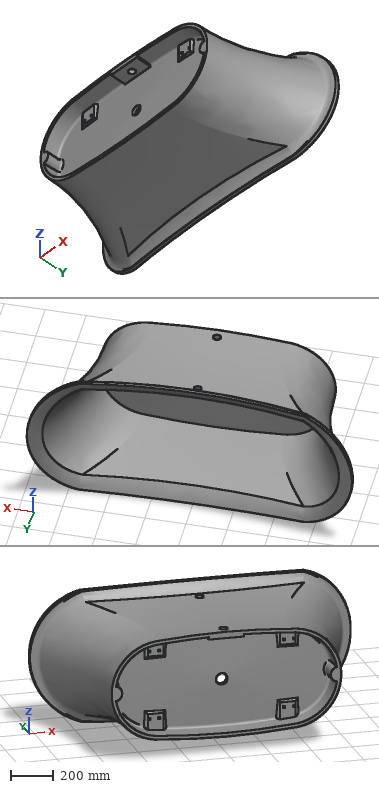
import cadquery as cq
import math

overall_width = 689.0
FOOT = ((0, 0, 263.0), (322.0, 0, 249.0), (567.0, 0, 0))
NECK = ((0, 504.0, 291.0), (539.0, 553.0, 284.0), (741.0, 607.0, 0))
FLARE_TOP = ((0, 553.0, 344.0), (548.0, 590.0, 325.0), (770.0, 627.0, 0))
LIP_BOTTOM = ((0, 553.0, overall_width / 2), (550.0, 590.0, 328.0), (792, 632.0, 0))
LIP_TOP = ((0, 573.0, overall_width / 2), (550.0, 610.0, 328.0), (792, 655.0, 0))

wall = 19.0
wall_levels = 5
floor_underside = 93.0
basin_floor = floor_underside + wall
floor_fall = 11.0
smooth_points = 32
flare_hollow = 5.0

recess_draft = 3.0
recess_fillet = 13.0
end_boss_radius = 38.0
end_boss_x = 553.0
side_boss_half_width = 87.0
side_boss_z = 231.0

pad_width = 111.0
pad_centre_x = 326.0
pad_inner_z = 127.0
pad_height = 10.0
pad_bevel = 17.0
pilot_diameter = 10.0
pilot_depth = 10.0
pilot_spacing = 49.0
pilot_centre_x = 333.0
pilot_z = 170.0

drain_diameter = 55.0
overflow_diameter = 36.0
overflow_heights = (54.0, 472.0)


def inset(ring, amount):
    """Ring moved inward by an amount in plan, at the same heights."""
    side, corner, end = ring
    return (
        (0, side[1], side[2] - amount),
        (corner[0], corner[1], corner[2] - amount),
        (end[0] - amount, end[1], 0),
    )


def raised(ring, height):
    """Ring moved along Y."""
    return tuple((x, y + height, z) for x, y, z in ring)


def between(low, high, spread, rise):
    """Ring between two others: `spread` is the fraction of the way in plan, `rise` that in height."""
    return tuple(
        (
            a[0] + spread * (b[0] - a[0]),
            a[1] + rise * (b[1] - a[1]),
            a[2] + spread * (b[2] - a[2]),
        )
        for a, b in zip(low, high)
    )


def ring_wire(ring):
    """Closed wire of four arcs through the ring's points and their mirror images."""
    side, corner, end = ring

    def point(p, x_sign, z_sign):
        return cq.Vector(x_sign * p[0], p[1], z_sign * p[2])

    stops = [
        (point(corner, -1, 1), point(side, 1, 1), point(corner, 1, 1)),
        (point(corner, 1, 1), point(end, 1, 1), point(corner, 1, -1)),
        (point(corner, 1, -1), point(side, 1, -1), point(corner, -1, -1)),
        (point(corner, -1, -1), point(end, -1, 1), point(corner, -1, 1)),
    ]
    return cq.Wire.assembleEdges([cq.Edge.makeThreePointArc(*s) for s in stops])


def smooth_wire(ring):
    """Closed wire of one seamless curve along the ring."""
    arcs = ring_wire(ring)
    points = [arcs.positionAt(i / smooth_points) for i in range(smooth_points)]
    return cq.Wire.assembleEdges([cq.Edge.makeSpline(points, periodic=True)])


def skin(rings, ruled=False):
    """Faces of an open surface running through the rings."""
    return cq.occ_impl.shapes.loft(*[ring_wire(r) for r in rings], ruled=ruled).Faces()


def flared_wall(foot, neck, start_rise=0.0):
    """Rings of a wall whose spread grows with the square of its height above the foot."""
    steps = [i / (wall_levels - 1) for i in range(wall_levels)]
    low = between(foot, neck, start_rise**2, 0)
    rings = []
    for step in steps:
        rise = start_rise + (1 - start_rise) * step
        spread = (rise**2 - start_rise**2) / (1 - start_rise**2)
        rings.append(between(low, neck, spread, step))
    return rings


def hollow_flare(neck, top):
    """Rings of the concave flare from the neck out to the lip."""
    middle = raised(inset(between(neck, top, 0.5, 0.5), flare_hollow), flare_hollow)
    return [neck, middle, top]


def shell():
    outer = flared_wall(FOOT, NECK)
    mouth = raised(inset(NECK, wall), wall)
    basin = flared_wall(raised(inset(FOOT, wall), basin_floor), mouth, basin_floor / NECK[2][1])
    faces = [
        *skin(outer),
        *skin(hollow_flare(NECK, FLARE_TOP)),
        *skin([FLARE_TOP, LIP_BOTTOM], ruled=True),
        *skin([LIP_BOTTOM, LIP_TOP], ruled=True),
        *skin(hollow_flare(mouth, LIP_TOP)),
        *skin(basin),
        cq.Face.makeFromWires(ring_wire(outer[0])),
        cq.Face.makeFromWires(ring_wire(basin[0])),
    ]
    return cq.Workplane(cq.Solid.makeSolid(cq.Shell.makeShell(faces)).fix())


def slab(x_size, z_size, height, x, z, y):
    """Box by its centre in plan, rising from height y."""
    return cq.Workplane("XY").box(x_size, height, z_size).translate((x, y + height / 2, z))


def sloping_floor(y):
    """Shallow solid hanging from height y, which falls to a small circle in the drain."""
    low = y - floor_fall
    radius = drain_diameter / 4
    diagonal = radius / math.sqrt(2)
    lowest = ((0, low, radius), (diagonal, low, diagonal), (radius, low, 0))
    edge = raised(inset(FOOT, wall + recess_draft + recess_fillet), y)
    return cq.Workplane(cq.Solid.makeLoft([smooth_wire(edge), smooth_wire(lowest)], True))


def recess():
    """Hollow under the floor, less the bosses that stand in it."""
    base = inset(FOOT, wall)
    roof = raised(inset(base, recess_draft), floor_underside)
    hollow = cq.Workplane(cq.Solid.makeLoft([ring_wire(base), ring_wire(roof)], True))
    for side in (-1, 1):
        boss = (
            cq.Workplane("XZ")
            .center(side * end_boss_x, 0)
            .circle(end_boss_radius)
            .extrude(-floor_underside)
        )
        hollow = hollow.cut(boss)
    hollow = hollow.faces(">Y").edges().fillet(recess_fillet)
    boss_depth = FOOT[0][2] - side_boss_z
    boss = slab(2 * side_boss_half_width, boss_depth, floor_underside, 0, side_boss_z + boss_depth / 2, 0)
    return hollow.cut(boss).cut(sloping_floor(floor_underside))


def pad(x_sign, z_sign):
    """Bevelled pad on the underside of the floor, running from its inner edge into the wall."""
    outer_z = FOOT[1][2] - wall / 2
    length = outer_z - pad_inner_z
    centre_z = z_sign * (outer_z + pad_inner_z) / 2
    base = slab(pad_width, length, wall / 2, x_sign * pad_centre_x, centre_z, floor_underside)
    bevelled = (
        cq.Workplane("XZ", origin=(x_sign * pad_centre_x, floor_underside, centre_z))
        .rect(pad_width, length)
        .workplane(offset=pad_height)
        .center(0, z_sign * pad_bevel / 2)
        .rect(pad_width - 2 * pad_bevel, length - pad_bevel)
        .loft(ruled=True)
    )
    return base.union(bevelled)


def pilot_holes(x_sign, z_sign):
    places = [(x_sign * (pilot_centre_x + s * pilot_spacing / 2), z_sign * pilot_z) for s in (-1, 1)]
    return (
        cq.Workplane("XZ", origin=(0, floor_underside - pad_height, 0))
        .pushPoints(places)
        .circle(pilot_diameter / 2)
        .extrude(-pilot_depth)
    )


result = shell().cut(recess()).cut(sloping_floor(basin_floor))
for x_sign in (-1, 1):
    for z_sign in (-1, 1):
        result = result.union(pad(x_sign, z_sign)).cut(pilot_holes(x_sign, z_sign))

drain = cq.Workplane("XZ").circle(drain_diameter / 2).extrude(-2 * basin_floor)
result = result.cut(drain)

for height in overflow_heights:
    overflow = cq.Workplane("XY").center(0, height).circle(overflow_diameter / 2).extrude(2 * FOOT[0][2])
    result = result.cut(overflow)

result = result.solids()